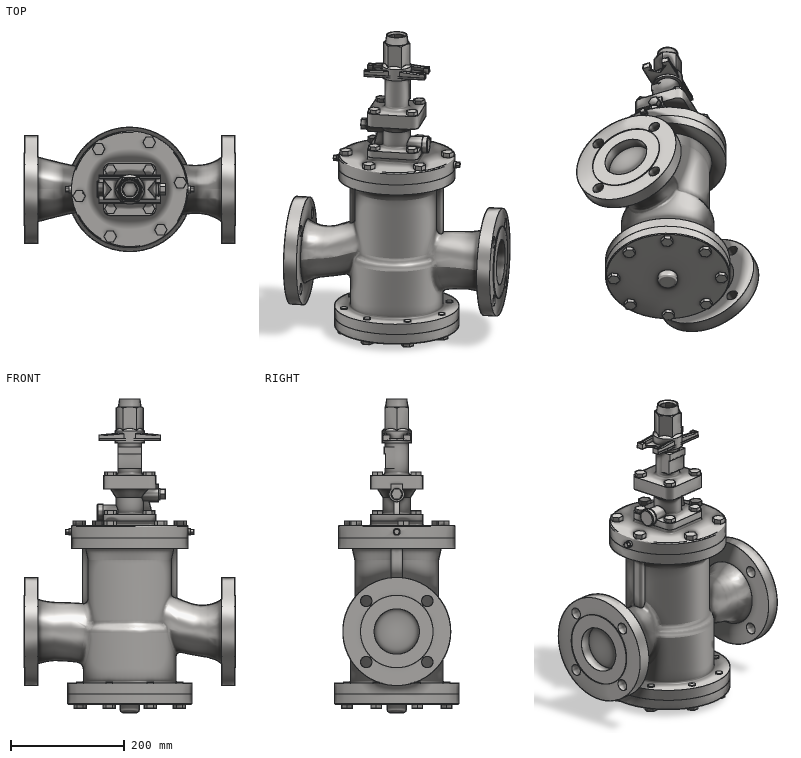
import cadquery as cq
import math


FACE_TO_FACE = 374.0
PIPE_FLANGE_DIA = 191.0
PIPE_FLANGE_THICKNESS = 25.0
RAISED_FACE_DIA = 128.0
RAISED_FACE_HEIGHT = 1.6
PORT_BORE_DIA = 80.0
PORT_BORE_DEPTH = 20.0
PIPE_BOLT_CIRCLE = 152.4
PIPE_BOLT_HOLE_DIA = 20.0
PIPE_HUB_RADIUS = 57.0
HUB_X = FACE_TO_FACE / 2 - PIPE_FLANGE_THICKNESS

UPPER_BARREL_RADIUS = 74.0
LOWER_BARREL_RADIUS = 82.0
NECK_RADIUS = 78.0
FLARE_BOTTOM_Z = 126.0
FLARE_TOP_Z = 144.0
SHOULDER_TOP_Z = 19.0
SHOULDER_MIDDLE_Z = 8.0
SHOULDER_BOTTOM_Z = -3.0
BARREL_FOOT_FILLET = 4.0
INLET_FILLET = 12.0
OUTLET_FILLET = 7.0

TOP_FLANGE_RADIUS = 103.0
TOP_FLANGE_BOTTOM_Z = 146.5
COVER_BOTTOM_Z = 165.0
COVER_TOP_Z = 187.2
COVER_EDGE_FILLET = 2.0
BOTTOM_FLANGE_RADIUS = 110.0
BOTTOM_FLANGE_TOP_Z = -91.0
BOTTOM_COVER_TOP_Z = -110.0
BOTTOM_COVER_BOTTOM_Z = -128.5
BOTTOM_EDGE_CHAMFER = 1.5

RIB_HALF_WIDTH = 10.0
RIB_REACH = 83.5
RIB_CORNER_RADIUS = 6.0

LARGE_HEAD_DIA = 22.0
TOP_HEAD_HEIGHT = 8.2
TOP_BOLT_COUNT = 6
TOP_BOLT_RADIUS = 90.0
TOP_BOLT_START = 7.5
BOTTOM_HEAD_HEIGHT = 7.0
BOTTOM_BOLT_COUNT = 8
BOTTOM_BOLT_RADIUS = 95.0
BOTTOM_BOLT_DIA = 12.0
BOTTOM_BOLT_PROTRUSION = 1.8
SMALL_HEAD_DIA = 20.5
SMALL_HEAD_HEIGHT = 6.5
SQUARE_BOLT_OFFSET = 34.0

DRAIN_DIA = 34.0
DRAIN_HEIGHT = 15.0
DRAIN_EDGE_RADIUS = 6.0

VENT_Z = 176.0
VENT_COLLAR_DIA = 12.0
VENT_COLLAR_END_X = 107.0
VENT_HEX_DIA = 10.0
VENT_END_X = 113.3

SQUARE_SIDE = 92.0
SQUARE_CORNER_RADIUS = 12.0
PILOT_BOTTOM_Z = 194.8
PILOT_PLATE_TOP_Z = 207.0
UPPER_FLANGE_BOTTOM_Z = 251.4
UPPER_FLANGE_TOP_Z = 275.3
BOSS_FILLET = 2.5

PILOT_NECK_RADIUS = 24.56
PILOT_NECK_FILLET = 3.5
PILOT_FLARE_RADIUS = 34.0
PILOT_FLARE_BOTTOM_Z = 237.0

PORT_TUBE_DIA = 27.0
LEFT_PORT_Z = 210.0
LEFT_CAP_DIA = 30.0
LEFT_CAP_CHAMFER = 1.5
LEFT_CAP_START_X = 47.5
LEFT_CAP_END_X = 57.5
RIGHT_PORT_Z = 242.5
RIGHT_PORT_END_X = 50.5
PORT_PAD_WIDTH = 20.0
PORT_PAD_TOP_Z = 260.0
PORT_PLUG_COLLAR_DIA = 20.0
PORT_PLUG_COLLAR_END_X = 53.5
PORT_PLUG_HEX_DIA = 20.0
PORT_PLUG_END_X = 63.0
WEB_WIDTH = 10.0
WEB_TOP_X = 31.0
WEB_BOTTOM_X = 40.0

HOUSING_RADIUS = 21.0
HOUSING_FOOT_FILLET = 6.5
PAD_WIDTH = 41.0
PAD_BOTTOM_Z = 287.5
PAD_TOP_Z = 313.5
PAD_REACH = 20.0
LEDGE_TOP_Z = 326.0
LEDGE_REACH = 22.5
COLLAR_RADIUS = 26.0
COLLAR_BOTTOM_Z = 333.0
COLLAR_TOP_Z = 354.0
COLLAR_CONE_TOP_Z = 358.5
HEX_ACROSS_FLATS = 42.0
HEX_TOP_Z = 396.5
HEX_CHAMFER_ANGLE = 30.0
CAP_TOP_Z = 410.5
CAP_BASE_RADIUS = 20.0
CAP_TOP_RADIUS = 18.0
SOCKET_DIA = 27.0
SOCKET_DEPTH = 13.0
SOCKET_MOUTH_RADIUS = 16.5
SOCKET_MOUTH_DEPTH = 3.0

HANDLE_HALF_LENGTH = 54.5
HANDLE_HALF_WIDTH = 25.0
HANDLE_NOTCH_X = 32.5
HANDLE_NOTCH_HALF_WIDTH = 16.0
HANDLE_TIP_LENGTH = 9.0
HANDLE_TIP_WIDTH = 12.0
HANDLE_BOTTOM_Z = 337.5
HANDLE_WEB_THICKNESS = 3.5
HANDLE_RIB_WIDTH = 7.0
HANDLE_RIB_INSET = 1.0
HANDLE_RIB_CHAMFER = 2.0
HANDLE_TIP_Z = 347.0
HANDLE_ROOT_Z = 352.0


def disc(radius, bottom, top):
    """Cylinder on the Z axis between two heights."""
    return cq.Workplane("XY").workplane(offset=bottom).circle(radius).extrude(top - bottom)


def square_plate(bottom, top):
    """Square plate with rounded corners between two heights."""
    plate = cq.Workplane("XY").workplane(offset=bottom).rect(SQUARE_SIDE, SQUARE_SIDE).extrude(top - bottom)
    return plate.edges("|Z").fillet(SQUARE_CORNER_RADIUS)


def x_rod(diameter, start, end, height):
    """Cylinder along X at a given height."""
    return cq.Workplane("YZ", origin=(start, 0, height)).circle(diameter / 2).extrude(end - start)


def x_hex(corner_diameter, start, end, height):
    """Hexagonal bar along X at a given height."""
    return cq.Workplane("YZ", origin=(start, 0, height)).polygon(6, corner_diameter).extrude(end - start)


def ring_points(count, radius, start_angle):
    """Points evenly spaced on a circle."""
    angles = [math.radians(start_angle + 360 * i / count) for i in range(count)]
    return [(radius * math.cos(a), radius * math.sin(a)) for a in angles]


def square_bolt_heads(seat):
    """Four bolt heads standing on a square flange."""
    side = 2 * SQUARE_BOLT_OFFSET
    heads = cq.Workplane("XY").workplane(offset=seat).rect(side, side, forConstruction=True).vertices()
    return heads.polygon(6, SMALL_HEAD_DIA).extrude(SMALL_HEAD_HEIGHT)


def barrel():
    """Revolved barrel with its flared neck and the shoulder above the wider lower part."""
    mid_radius = (UPPER_BARREL_RADIUS + LOWER_BARREL_RADIUS) / 2
    quarter_step = (LOWER_BARREL_RADIUS - UPPER_BARREL_RADIUS) / 8
    upper_z = (SHOULDER_TOP_Z + SHOULDER_MIDDLE_Z) / 2
    lower_z = (SHOULDER_BOTTOM_Z + SHOULDER_MIDDLE_Z) / 2
    foot_z = BOTTOM_FLANGE_TOP_Z + BARREL_FOOT_FILLET
    foot_inset = BARREL_FOOT_FILLET * (1 - math.sqrt(0.5))
    return (
        cq.Workplane("XZ")
        .moveTo(0, BOTTOM_COVER_TOP_Z)
        .lineTo(BOTTOM_FLANGE_RADIUS, BOTTOM_COVER_TOP_Z)
        .lineTo(BOTTOM_FLANGE_RADIUS, BOTTOM_FLANGE_TOP_Z)
        .lineTo(LOWER_BARREL_RADIUS + BARREL_FOOT_FILLET, BOTTOM_FLANGE_TOP_Z)
        .threePointArc(
            (LOWER_BARREL_RADIUS + foot_inset, BOTTOM_FLANGE_TOP_Z + foot_inset),
            (LOWER_BARREL_RADIUS, foot_z),
        )
        .lineTo(LOWER_BARREL_RADIUS, SHOULDER_BOTTOM_Z)
        .threePointArc((LOWER_BARREL_RADIUS - quarter_step, lower_z), (mid_radius, SHOULDER_MIDDLE_Z))
        .threePointArc((UPPER_BARREL_RADIUS + quarter_step, upper_z), (UPPER_BARREL_RADIUS, SHOULDER_TOP_Z))
        .lineTo(UPPER_BARREL_RADIUS, FLARE_BOTTOM_Z)
        .lineTo(NECK_RADIUS, FLARE_TOP_Z)
        .lineTo(NECK_RADIUS, TOP_FLANGE_BOTTOM_Z)
        .lineTo(TOP_FLANGE_RADIUS, TOP_FLANGE_BOTTOM_Z)
        .lineTo(TOP_FLANGE_RADIUS, COVER_BOTTOM_Z)
        .lineTo(0, COVER_BOTTOM_Z)
        .close()
        .revolve(360, (0, 0, 0), (0, 1, 0))
    )


def side_rib():
    """Round-edged vertical rib on the +X and -X sides of the upper barrel."""
    rib = cq.Workplane("XY").rect(2 * RIB_REACH, 2 * RIB_HALF_WIDTH).extrude(TOP_FLANGE_BOTTOM_Z)
    return rib.edges("|Z").fillet(RIB_CORNER_RADIUS)


def pipe(sections):
    """Smooth pipe through elliptical sections given as (x, centre z, half width y, half height z)."""
    wires = []
    for x, centre, half_width, half_height in sections:
        plane = cq.Workplane("YZ", origin=(x, 0, centre))
        wires.append(plane.ellipse(half_width, half_height).wires().val())
    return cq.Workplane(obj=cq.Solid.makeLoft(wires))


INLET_SECTIONS = [
    (-HUB_X, 0.0, PIPE_HUB_RADIUS, PIPE_HUB_RADIUS),
    (-138.0, 0.0, 51.0, 52.0),
    (-105.0, -1.0, 43.0, 52.0),
    (-50.0, -10.0, 38.0, 46.0),
]
OUTLET_SECTIONS = [
    (HUB_X, 0.0, PIPE_HUB_RADIUS, PIPE_HUB_RADIUS),
    (144.0, 0.5, 47.0, 48.0),
    (130.0, 1.0, 43.5, 45.5),
    (100.0, 6.5, 43.5, 45.8),
    (50.0, 20.0, 43.5, 47.0),
]


def pipe_flange(side):
    """Raised-face pipe flange on the +X (side = 1) or -X (side = -1) end."""
    face = side * FACE_TO_FACE / 2
    shoulder = face - side * RAISED_FACE_HEIGHT
    flange = x_rod(PIPE_FLANGE_DIA, side * HUB_X, shoulder, 0)
    flange = flange.union(x_rod(RAISED_FACE_DIA, shoulder, face, 0))
    spacing = PIPE_BOLT_CIRCLE / math.sqrt(2)
    holes = (
        cq.Workplane("YZ", origin=(side * HUB_X, 0, 0))
        .rect(spacing, spacing, forConstruction=True)
        .vertices()
        .circle(PIPE_BOLT_HOLE_DIA / 2)
        .extrude(side * PIPE_FLANGE_THICKNESS)
    )
    return flange.cut(holes)


INLET_ROOT = cq.selectors.BoxSelector((-100, -60, -75), (0, 60, 85))
OUTLET_ROOT = cq.selectors.BoxSelector((0, -60, -75), (100, 60, 85))


def make_body():
    """Main body: barrel, ribs, pipes and pipe flanges, with blind port bores."""
    body = barrel().union(pipe(INLET_SECTIONS)).union(pipe(OUTLET_SECTIONS))
    body = body.edges(INLET_ROOT).fillet(INLET_FILLET).edges(OUTLET_ROOT).fillet(OUTLET_FILLET)
    body = body.union(side_rib())
    for side in (-1, 1):
        face = side * FACE_TO_FACE / 2
        body = body.union(pipe_flange(side))
        body = body.cut(x_rod(PORT_BORE_DIA, face - side * PORT_BORE_DEPTH, face, 0))
    return body.cut(bottom_bolt_shanks())


def bottom_bolt_points():
    """Bolt positions straddling the X and Y axes."""
    return ring_points(BOTTOM_BOLT_COUNT, BOTTOM_BOLT_RADIUS, 180 / BOTTOM_BOLT_COUNT)


def bottom_bolt_shanks():
    """Bolt shanks through the lower body flange, standing slightly above it."""
    height = BOTTOM_FLANGE_TOP_Z + BOTTOM_BOLT_PROTRUSION - BOTTOM_COVER_TOP_Z
    shanks = cq.Workplane("XY").workplane(offset=BOTTOM_COVER_TOP_Z).pushPoints(bottom_bolt_points())
    return shanks.circle(BOTTOM_BOLT_DIA / 2).extrude(height)


def make_bottom_cover():
    """Bottom cover with its bolts and drain plug."""
    cover = disc(BOTTOM_FLANGE_RADIUS, BOTTOM_COVER_BOTTOM_Z, BOTTOM_COVER_TOP_Z)
    cover = cover.faces("<Z").edges().chamfer(BOTTOM_EDGE_CHAMFER)
    heads = (
        cq.Workplane("XY")
        .workplane(offset=BOTTOM_COVER_BOTTOM_Z)
        .pushPoints(bottom_bolt_points())
        .polygon(6, LARGE_HEAD_DIA)
        .extrude(-BOTTOM_HEAD_HEIGHT)
    )
    plug = disc(DRAIN_DIA / 2, BOTTOM_COVER_BOTTOM_Z - DRAIN_HEIGHT, BOTTOM_COVER_BOTTOM_Z)
    plug = plug.faces("<Z").edges().fillet(DRAIN_EDGE_RADIUS)
    return cover.union(heads).union(plug).union(bottom_bolt_shanks())


def make_top_cover():
    """Top cover with its bolt heads, square boss and side vent plugs."""
    cover = disc(TOP_FLANGE_RADIUS, COVER_BOTTOM_Z, COVER_TOP_Z)
    cover = cover.faces(">Z").edges().fillet(COVER_EDGE_FILLET)
    cover = cover.union(square_plate(COVER_TOP_Z, PILOT_BOTTOM_Z))
    reach = SQUARE_SIDE / 2 + BOSS_FILLET
    boss_foot = cq.selectors.BoxSelector(
        (-reach, -reach, COVER_TOP_Z - BOSS_FILLET), (reach, reach, COVER_TOP_Z + BOSS_FILLET)
    )
    cover = cover.edges(boss_foot).fillet(BOSS_FILLET)
    heads = (
        cq.Workplane("XY")
        .workplane(offset=COVER_TOP_Z)
        .pushPoints(ring_points(TOP_BOLT_COUNT, TOP_BOLT_RADIUS, TOP_BOLT_START))
        .polygon(6, LARGE_HEAD_DIA)
        .extrude(TOP_HEAD_HEIGHT)
    )
    cover = cover.union(heads)
    for side in (-1, 1):
        root = side * (TOP_FLANGE_RADIUS - VENT_COLLAR_DIA / 2)
        cover = cover.union(x_rod(VENT_COLLAR_DIA, root, side * VENT_COLLAR_END_X, VENT_Z))
        cover = cover.union(x_hex(VENT_HEX_DIA, root, side * VENT_END_X, VENT_Z))
    return cover


def pilot_base():
    """Square plate, neck flaring up to the square flange, and the ports on the neck."""
    neck_top_inset = PILOT_NECK_RADIUS + PILOT_NECK_FILLET
    inset = PILOT_NECK_FILLET * (1 - math.sqrt(0.5))
    neck = (
        cq.Workplane("XZ")
        .moveTo(0, PILOT_PLATE_TOP_Z)
        .lineTo(neck_top_inset, PILOT_PLATE_TOP_Z)
        .threePointArc(
            (PILOT_NECK_RADIUS + inset, PILOT_PLATE_TOP_Z + inset),
            (PILOT_NECK_RADIUS, PILOT_PLATE_TOP_Z + PILOT_NECK_FILLET),
        )
        .lineTo(PILOT_NECK_RADIUS, PILOT_FLARE_BOTTOM_Z)
        .lineTo(PILOT_FLARE_RADIUS, UPPER_FLANGE_BOTTOM_Z)
        .lineTo(0, UPPER_FLANGE_BOTTOM_Z)
        .close()
        .revolve(360, (0, 0, 0), (0, 1, 0))
    )
    plate = square_plate(PILOT_BOTTOM_Z, PILOT_PLATE_TOP_Z)
    return plate.union(square_bolt_heads(PILOT_PLATE_TOP_Z)).union(neck)


def left_port():
    """Capped tube on the -X side of the neck."""
    cap = x_rod(LEFT_CAP_DIA, -LEFT_CAP_START_X, -LEFT_CAP_END_X, LEFT_PORT_Z)
    cap = cap.faces("<X").edges().chamfer(LEFT_CAP_CHAMFER)
    return cap.union(x_rod(PORT_TUBE_DIA, 0, -LEFT_CAP_START_X, LEFT_PORT_Z))


def right_port():
    """Plugged tube on the +X side of the neck, with a pad above it and a web below it."""
    port = x_rod(PORT_TUBE_DIA, 0, RIGHT_PORT_END_X, RIGHT_PORT_Z)
    pad = cq.Workplane("XY", origin=(0, 0, RIGHT_PORT_Z)).box(
        RIGHT_PORT_END_X, PORT_PAD_WIDTH, PORT_PAD_TOP_Z - RIGHT_PORT_Z, centered=(False, True, False)
    )
    web = (
        cq.Workplane("XZ")
        .moveTo(0, PILOT_PLATE_TOP_Z)
        .lineTo(WEB_BOTTOM_X, PILOT_PLATE_TOP_Z)
        .lineTo(WEB_TOP_X, RIGHT_PORT_Z)
        .lineTo(0, RIGHT_PORT_Z)
        .close()
        .extrude(WEB_WIDTH / 2, both=True)
    )
    port = port.union(pad).union(web)
    port = port.union(x_rod(PORT_PLUG_COLLAR_DIA, 0, PORT_PLUG_COLLAR_END_X, RIGHT_PORT_Z))
    return port.union(x_hex(PORT_PLUG_HEX_DIA, 0, PORT_PLUG_END_X, RIGHT_PORT_Z))


def spring_housing():
    """Square flange and round housing with the flat-faced pad on its -Y side."""
    foot_radius = HOUSING_RADIUS + HOUSING_FOOT_FILLET
    inset = HOUSING_FOOT_FILLET * (1 - math.sqrt(0.5))
    tube = (
        cq.Workplane("XZ")
        .moveTo(0, UPPER_FLANGE_TOP_Z)
        .lineTo(foot_radius, UPPER_FLANGE_TOP_Z)
        .threePointArc(
            (HOUSING_RADIUS + inset, UPPER_FLANGE_TOP_Z + inset),
            (HOUSING_RADIUS, UPPER_FLANGE_TOP_Z + HOUSING_FOOT_FILLET),
        )
        .lineTo(HOUSING_RADIUS, COLLAR_BOTTOM_Z)
        .lineTo(0, COLLAR_BOTTOM_Z)
        .close()
        .revolve(360, (0, 0, 0), (0, 1, 0))
    )
    pad = cq.Workplane("XY", origin=(0, -PAD_REACH / 2, PAD_BOTTOM_Z)).box(
        PAD_WIDTH, PAD_REACH, PAD_TOP_Z - PAD_BOTTOM_Z, centered=(True, True, False)
    )
    ledge = cq.Workplane("XY", origin=(0, -LEDGE_REACH / 2, PAD_TOP_Z)).box(
        PAD_WIDTH, LEDGE_REACH, LEDGE_TOP_Z - PAD_TOP_Z, centered=(True, True, False)
    )
    beyond_pad = cq.Workplane("XY", origin=(0, -PAD_REACH - HOUSING_RADIUS / 2, PAD_BOTTOM_Z)).box(
        PAD_WIDTH, HOUSING_RADIUS, PAD_TOP_Z - PAD_BOTTOM_Z, centered=(True, True, False)
    )
    tube = tube.cut(beyond_pad)
    flange = square_plate(UPPER_FLANGE_BOTTOM_Z, UPPER_FLANGE_TOP_Z)
    return flange.union(square_bolt_heads(UPPER_FLANGE_TOP_Z)).union(tube).union(pad).union(ledge)


def handle():
    """Bow-tie handle plate with sloping ribs along its two long edges."""
    neck_x = HANDLE_HALF_LENGTH - HANDLE_TIP_LENGTH
    corners = [
        (-HANDLE_HALF_LENGTH, -HANDLE_HALF_WIDTH),
        (HANDLE_HALF_LENGTH, -HANDLE_HALF_WIDTH),
        (neck_x, -HANDLE_NOTCH_HALF_WIDTH),
        (HANDLE_NOTCH_X, 0),
        (neck_x, HANDLE_NOTCH_HALF_WIDTH),
        (HANDLE_HALF_LENGTH, HANDLE_HALF_WIDTH),
        (-HANDLE_HALF_LENGTH, HANDLE_HALF_WIDTH),
        (-neck_x, HANDLE_NOTCH_HALF_WIDTH),
        (-HANDLE_NOTCH_X, 0),
        (-neck_x, -HANDLE_NOTCH_HALF_WIDTH),
    ]
    plate = cq.Workplane("XY").workplane(offset=HANDLE_BOTTOM_Z).polyline(corners).close()
    plate = plate.extrude(HANDLE_WEB_THICKNESS)
    rib_outline = [
        (-HANDLE_HALF_LENGTH, HANDLE_BOTTOM_Z),
        (HANDLE_HALF_LENGTH, HANDLE_BOTTOM_Z),
        (HANDLE_HALF_LENGTH, HANDLE_TIP_Z),
        (0, HANDLE_ROOT_Z),
        (-HANDLE_HALF_LENGTH, HANDLE_TIP_Z),
    ]
    rib_outer_y = HANDLE_HALF_WIDTH - HANDLE_RIB_INSET
    for outer_y in (-rib_outer_y + HANDLE_RIB_WIDTH, rib_outer_y):
        rib = cq.Workplane("XZ", origin=(0, outer_y, 0)).polyline(rib_outline).close()
        rib = rib.extrude(HANDLE_RIB_WIDTH).edges("not(|X or |Y or |Z)").chamfer(HANDLE_RIB_CHAMFER)
        plate = plate.union(rib)
    tip_x = HANDLE_HALF_LENGTH - HANDLE_TIP_LENGTH / 2
    tip_y = rib_outer_y - HANDLE_TIP_WIDTH / 2
    tips = (
        cq.Workplane("XY")
        .workplane(offset=HANDLE_BOTTOM_Z)
        .rect(2 * tip_x, 2 * tip_y, forConstruction=True)
        .vertices()
        .rect(HANDLE_TIP_LENGTH, HANDLE_TIP_WIDTH)
        .extrude(HANDLE_TIP_Z - HANDLE_BOTTOM_Z)
    )
    plate = plate.union(tips)
    return plate


def adjusting_cap():
    """Round collar carrying the handle, hexagon and tapered top with a hexagonal socket."""
    hex_corner_dia = HEX_ACROSS_FLATS / math.cos(math.pi / 6)
    collar = disc(COLLAR_RADIUS, COLLAR_BOTTOM_Z, COLLAR_TOP_Z)
    cone = collar.faces(">Z").workplane().circle(COLLAR_RADIUS)
    cone = cone.workplane(offset=COLLAR_CONE_TOP_Z - COLLAR_TOP_Z).circle(HEX_ACROSS_FLATS / 2).loft()
    hexagon = cq.Workplane("XY").workplane(offset=COLLAR_TOP_Z).polygon(6, hex_corner_dia)
    hexagon = hexagon.extrude(HEX_TOP_Z - COLLAR_TOP_Z)
    chamfer_reach = hex_corner_dia - HEX_ACROSS_FLATS
    chamfer_height = chamfer_reach * math.tan(math.radians(HEX_CHAMFER_ANGLE))
    chamfer_cone = (
        cq.Workplane("XZ")
        .moveTo(0, HEX_TOP_Z)
        .lineTo(HEX_ACROSS_FLATS / 2, HEX_TOP_Z)
        .lineTo(HEX_ACROSS_FLATS / 2 + chamfer_reach, HEX_TOP_Z - chamfer_height)
        .lineTo(HEX_ACROSS_FLATS / 2 + chamfer_reach, COLLAR_TOP_Z)
        .lineTo(0, COLLAR_TOP_Z)
        .close()
        .revolve(360, (0, 0, 0), (0, 1, 0))
    )
    hexagon = hexagon.intersect(chamfer_cone)
    top = cq.Workplane("XY").workplane(offset=HEX_TOP_Z).circle(CAP_BASE_RADIUS)
    top = top.workplane(offset=CAP_TOP_Z - HEX_TOP_Z).circle(CAP_TOP_RADIUS).loft()
    socket = cq.Workplane("XY").workplane(offset=CAP_TOP_Z).polygon(6, SOCKET_DIA).extrude(-SOCKET_DEPTH)
    mouth = cq.Workplane("XY").workplane(offset=CAP_TOP_Z).circle(SOCKET_MOUTH_RADIUS)
    mouth = mouth.workplane(offset=-SOCKET_MOUTH_DEPTH).circle(SOCKET_DIA / 2).loft()
    socket = socket.union(mouth)
    return cone.union(hexagon).union(top).cut(socket).union(handle())


def make_pilot():
    """Pilot valve: base with ports, spring housing and adjusting cap."""
    return pilot_base().union(left_port()).union(right_port()).union(spring_housing()).union(adjusting_cap())


body = make_body()
bottom_cover = make_bottom_cover()
top_cover = make_top_cover()
pilot = make_pilot()

result = cq.Compound.makeCompound([body.val(), bottom_cover.val(), top_cover.val(), pilot.val()])